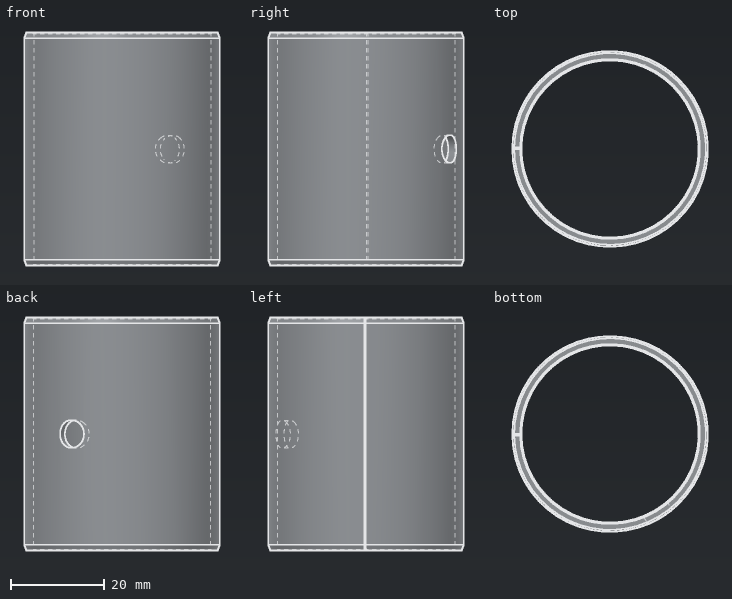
import cadquery as cq
import math

length = 50.0
outer_radius = 21.0
wall = 2.0
inner_radius = outer_radius - wall

outer_chamfer_height = 1.2
outer_chamfer_depth = 0.45
inner_chamfer = 0.3

split_angle = 1.0
seam_direction = 180.0

hole_diameter = 6.0
hole_angle = 59.0


def make_sleeve():
    """Revolve the chamfered wall section about Z, stopping short to leave the split."""
    half = length / 2
    section = [
        (inner_radius + inner_chamfer, -half),
        (outer_radius - outer_chamfer_depth, -half),
        (outer_radius, -half + outer_chamfer_height),
        (outer_radius, half - outer_chamfer_height),
        (outer_radius - outer_chamfer_depth, half),
        (inner_radius + inner_chamfer, half),
        (inner_radius, half - inner_chamfer),
        (inner_radius, -half + inner_chamfer),
    ]
    profile = cq.Workplane("XZ").polyline(section).close()
    sleeve = profile.revolve(360 - split_angle, (0, 0), (0, 1))
    return sleeve.rotate((0, 0, 0), (0, 0, 1), seam_direction)


def make_oil_hole():
    """Radial cylinder from the axis out through one wall."""
    angle = math.radians(hole_angle)
    direction = cq.Vector(math.cos(angle), math.sin(angle), 0)
    reach = outer_radius + wall
    return cq.Solid.makeCylinder(hole_diameter / 2, reach, cq.Vector(0, 0, 0), direction)


result = make_sleeve().cut(make_oil_hole())